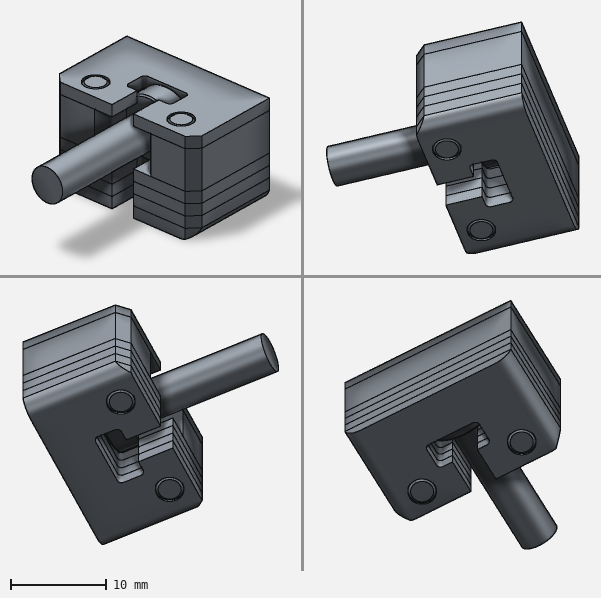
import cadquery as cq
import math

width = 20.0
depth = 12.0
height = 12.6
thin_plate = 1.5
lower_plate_count = 4
thick_plate = height - (lower_plate_count + 1) * thin_plate
thick_plate_bottom = lower_plate_count * thin_plate
top_plate_bottom = height - thin_plate
corner_chamfer = 1.25
bottom_round = 2.1

neck_width = 3.0
neck_length = 4.0
slot_width = 6.3
slot_length = 3.0
slot_corner_radius = 0.5

throat_width = 5.57
throat_round = 1.0
mouth_width = 7.95
throat_end = 3.75
head_pocket_width = 8.0

bolt_z = thick_plate_bottom + thick_plate / 2
shank_diameter = 4.3
shank_overhang = 12.0
head_diameter = 7.78
head_length = slot_length
head_chamfer = 0.2

pin_diameter = 3.0
pin_chamfer = 0.3
pin_x = 6.0
pin_y = 2.5


def blank(bottom, thickness):
    """Plate with chamfered front corners and the two dowel holes."""
    return (
        cq.Workplane("XY", origin=(0, depth / 2, bottom))
        .box(width, depth, thickness, centered=(True, True, False))
        .edges("|Z and <Y")
        .chamfer(corner_chamfer)
        .cut(cylinder_pair(bottom, thickness))
    )


def cylinder_pair(bottom, length):
    """Two upright cylinders at the dowel positions."""
    return (
        cq.Workplane("XY", origin=(0, pin_y, bottom))
        .pushPoints([(-pin_x, 0), (pin_x, 0)])
        .circle(pin_diameter / 2)
        .extrude(length)
    )


def thin_plate_body(bottom):
    """Plate with a T-slot: a narrow neck for the shank, then a wider slot for the head."""
    neck = cq.Workplane("XY", origin=(0, 0, bottom)).box(
        neck_width, neck_length + slot_length / 2, thin_plate, centered=(True, False, False)
    )
    slot = (
        cq.Workplane("XY", origin=(0, neck_length, bottom))
        .box(slot_width, slot_length, thin_plate, centered=(True, False, False))
        .edges("|Z")
        .fillet(slot_corner_radius)
    )
    return blank(bottom, thin_plate).cut(neck).cut(slot)


def bottom_plate_body():
    """Thin plate whose lower side edges are rounded by arcs that end at its upper side edges."""
    half_width = width / 2
    round_reach = math.sqrt(bottom_round**2 - (bottom_round - thin_plate) ** 2)
    flat_half = half_width - round_reach
    mid_angle = math.acos(1 - thin_plate / bottom_round) / 2
    mid_x = flat_half + bottom_round * math.sin(mid_angle)
    mid_z = bottom_round * (1 - math.cos(mid_angle))
    rounded_bar = (
        cq.Workplane("XZ")
        .moveTo(-half_width, thin_plate)
        .threePointArc((-mid_x, mid_z), (-flat_half, 0))
        .lineTo(flat_half, 0)
        .threePointArc((mid_x, mid_z), (half_width, thin_plate))
        .close()
        .extrude(-depth)
    )
    return thin_plate_body(0).intersect(rounded_bar)


def thick_plate_body():
    """Plate with a flared mouth that leads through a throat to the head pocket."""
    half_mouth = mouth_width / 2
    half_throat = throat_width / 2
    flare_depth = half_mouth - half_throat
    flare = (
        cq.Workplane("XY", origin=(0, 0, thick_plate_bottom))
        .polyline([
            (-half_mouth, 0),
            (-half_throat, flare_depth),
            (half_throat, flare_depth),
            (half_mouth, 0),
        ])
        .close()
        .extrude(thick_plate)
    )
    throat = cq.Workplane("XY", origin=(0, 0, thick_plate_bottom)).box(
        throat_width, throat_end, thick_plate, centered=(True, False, False)
    )
    opened = blank(thick_plate_bottom, thick_plate).cut(flare).cut(throat)
    for side in (-1, 1):
        corner = (side * half_throat, flare_depth, bolt_z)
        opened = opened.edges(cq.selectors.NearestToPointSelector(corner)).fillet(throat_round)
    head_pocket = cq.Workplane("XY", origin=(0, throat_end, thick_plate_bottom)).box(
        head_pocket_width,
        neck_length + head_length - throat_end,
        thick_plate,
        centered=(True, False, False),
    )
    return opened.cut(head_pocket)


def bolt_body():
    """Plain shank with a cylindrical head, chamfered at both ends."""
    head = (
        cq.Workplane("XZ", origin=(0, neck_length, bolt_z))
        .circle(head_diameter / 2)
        .extrude(-head_length)
        .edges()
        .chamfer(head_chamfer)
    )
    shank = (
        cq.Workplane("XZ", origin=(0, neck_length, bolt_z))
        .circle(shank_diameter / 2)
        .extrude(neck_length + shank_overhang)
    )
    return head.union(shank)


bottom_plate = bottom_plate_body()
lower_plates = [thin_plate_body(level * thin_plate) for level in range(1, lower_plate_count)]
middle_plate = thick_plate_body()
top_plate = thin_plate_body(top_plate_bottom)
bolt = bolt_body()
pins = cylinder_pair(0, height).faces("<Z or >Z").edges().chamfer(pin_chamfer)

result = cq.Compound.makeCompound([
    bottom_plate.val(),
    *[plate.val() for plate in lower_plates],
    middle_plate.val(),
    top_plate.val(),
    bolt.val(),
    *pins.vals(),
])